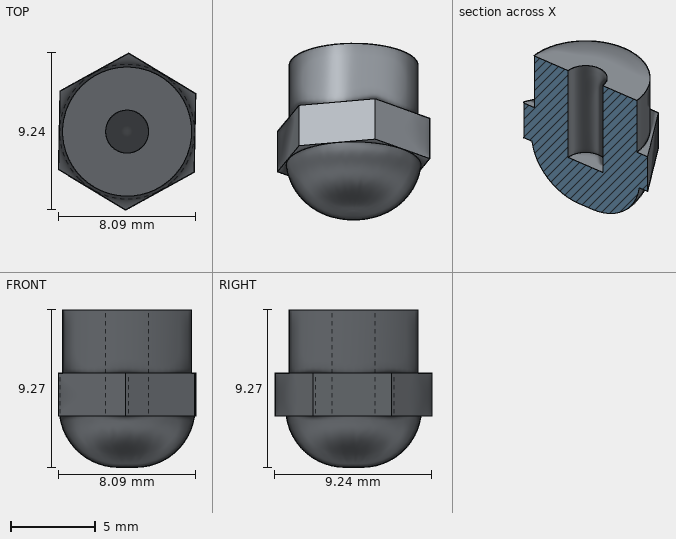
import cadquery as cq
import math

total_height = 9.27
collar_height = 3.72
hex_height = 2.53
dome_height = total_height - collar_height - hex_height

collar_diameter = 7.6
hex_sides = 6
across_flats = 8.0
hex_corner_angle = 90 - 1.15
dome_radius = across_flats / 2
dome_edge_round = 3.5
hole_diameter = 2.53
hole_depth = collar_height + hex_height

across_corners = across_flats / math.cos(math.pi / hex_sides)


def make_dome():
    """Rounded end: a cylinder with its bottom edge rolled over, its upper rim inside the hexagon."""
    return (
        cq.Workplane("XY")
        .circle(dome_radius)
        .extrude(dome_height + hex_height)
        .faces("<Z")
        .edges()
        .fillet(dome_edge_round)
    )


def make_hexagon():
    """Hexagonal wrench section on top of the dome."""
    return (
        cq.Workplane("XY", origin=(0, 0, dome_height))
        .polygon(hex_sides, across_corners)
        .extrude(hex_height)
        .rotate((0, 0, 0), (0, 0, 1), hex_corner_angle)
    )


def make_collar():
    """Round collar on top of the hexagon."""
    return (
        cq.Workplane("XY", origin=(0, 0, dome_height + hex_height))
        .circle(collar_diameter / 2)
        .extrude(collar_height)
    )


def make_hole():
    """Blind hole going down from the collar's top face."""
    return (
        cq.Workplane("XY", origin=(0, 0, total_height))
        .circle(hole_diameter / 2)
        .extrude(-hole_depth)
    )


result = make_dome().union(make_hexagon()).union(make_collar()).cut(make_hole())